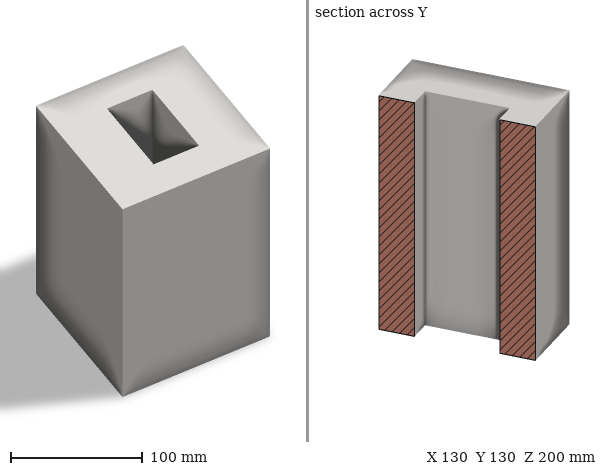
import cadquery as cq

block_side = 130.0
block_height = 200.0

passage_length_x = 70.0
passage_width_y = 40.0


def make_block():
    """Solid square block standing upright, centred on the origin."""
    return cq.Workplane("XY").box(block_side, block_side, block_height)


def cut_passage(body):
    """Cut the rectangular passage vertically through the body."""
    return body.faces(">Z").workplane().rect(passage_length_x, passage_width_y).cutThruAll()


result = cut_passage(make_block())